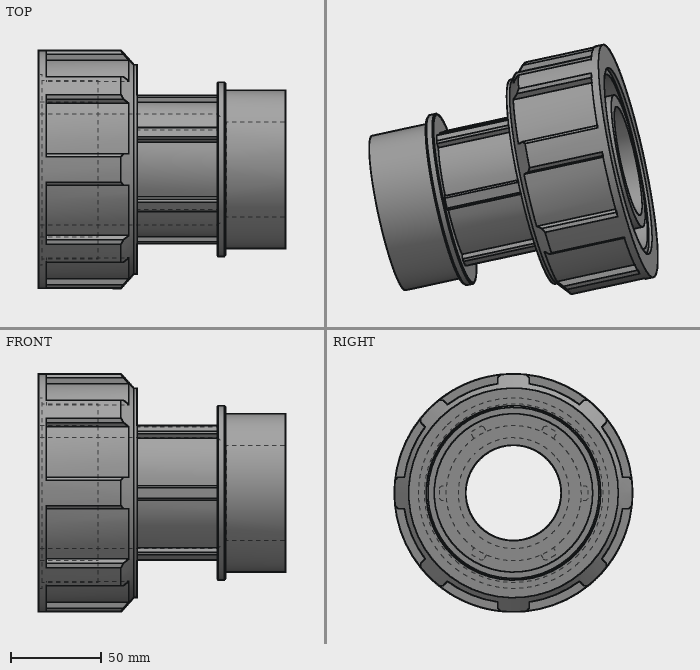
import cadquery as cq
import math

total_length = 137.0
nut_ring_end = 4.2
nut_chamfer_start = 45.8
collar_start = 52.9
collar_end = 54.7
flange_start = 99.0
flange_end = 103.8

nut_radius = 132.0 / 2
collar_radius = 116.2 / 2
panel_radius = 61.1
grip_count = 8
grip_half_width = 8.8
grip_edge_chamfer = 1.8
mouth_radius = 105.6 / 2
mouth_depth = 1.8
cavity_radius = 99.0 / 2
cavity_depth = 32.9

sleeve_radius = 75.0 / 2
rib_count = 6
rib_height_radius = 41.2
rib_half_width = 4.0
rib_edge_chamfer = 1.1
rib_embed_depth = 2.7
rib_root_radius = sleeve_radius - rib_embed_depth
flange_radius = 96.7 / 2
flange_front_chamfer = 0.7
flange_back_chamfer = 1.0
spigot_radius = 87.8 / 2

bore_front_radius = 61.5 / 2
bore_back_radius = 52.7 / 2
bore_shoulder_length = 5.1


def revolve_x(points):
    """Revolve a closed (x, radius) outline about the X axis."""
    return cq.Workplane("XY").polyline(points).close().revolve(360, (0, 0, 0), (1, 0, 0))


def repeat_about_x(solid, count):
    """Evenly spaced copies of a solid about the X axis."""
    copies = solid
    for index in range(1, count):
        copies = copies.union(solid.rotate((0, 0, 0), (1, 0, 0), index * 360 / count))
    return copies


def make_panel_pocket():
    """Cutter for the recess between the grip bar at +Y and the next bar toward +Z."""
    crown_half_width = grip_half_width - grip_edge_chamfer
    crown_edge = math.sqrt(nut_radius**2 - crown_half_width**2)
    panel_edge = math.sqrt(panel_radius**2 - grip_half_width**2)
    bar_side = [
        (panel_edge, grip_half_width),
        (crown_edge - grip_edge_chamfer, grip_half_width),
        (crown_edge + grip_edge_chamfer, crown_half_width - grip_edge_chamfer),
    ]
    pitch = 2 * math.pi / grip_count
    next_bar_side = [
        (y * math.cos(pitch) + z * math.sin(pitch), y * math.sin(pitch) - z * math.cos(pitch))
        for y, z in bar_side
    ]
    panel_middle = (panel_radius * math.cos(pitch / 2), panel_radius * math.sin(pitch / 2))
    far_middle = (2 * nut_radius * math.cos(pitch / 2), 2 * nut_radius * math.sin(pitch / 2))
    return (
        cq.Workplane("YZ", origin=(nut_ring_end, 0, 0))
        .polyline(bar_side + [far_middle] + next_bar_side[::-1])
        .threePointArc(panel_middle, bar_side[0])
        .close()
        .extrude(collar_start - nut_ring_end)
    )


def make_nut():
    """Nut with a full front ring, grip bars between recessed panels, and a hollow front."""
    nut = revolve_x([
        (0, mouth_radius),
        (0, nut_radius),
        (nut_chamfer_start, nut_radius),
        (collar_start, collar_radius),
        (collar_end, collar_radius),
        (collar_end, 0),
        (cavity_depth, 0),
        (cavity_depth, cavity_radius),
        (mouth_depth, cavity_radius),
        (mouth_depth, mouth_radius),
    ])
    pocket = make_panel_pocket()
    for index in range(grip_count):
        nut = nut.cut(pocket.rotate((0, 0, 0), (1, 0, 0), index * 360 / grip_count))
    return nut


def make_neck_rib():
    """One bevelled rib at +Y along the neck."""
    return (
        cq.Workplane("YZ", origin=(collar_end, 0, 0))
        .polyline([
            (rib_root_radius, -rib_half_width),
            (rib_height_radius - rib_edge_chamfer, -rib_half_width),
            (rib_height_radius, -rib_half_width + rib_edge_chamfer),
            (rib_height_radius, rib_half_width - rib_edge_chamfer),
            (rib_height_radius - rib_edge_chamfer, rib_half_width),
            (rib_root_radius, rib_half_width),
        ])
        .close()
        .extrude(flange_start - collar_end)
    )


def make_sleeve():
    """Sleeve running from the nut mouth to the flange and spigot."""
    return revolve_x([
        (0, 0),
        (0, sleeve_radius),
        (flange_start, sleeve_radius),
        (flange_start, flange_radius - flange_front_chamfer),
        (flange_start + flange_front_chamfer, flange_radius),
        (flange_end - flange_back_chamfer, flange_radius),
        (flange_end, flange_radius - flange_back_chamfer),
        (flange_end, spigot_radius),
        (total_length, spigot_radius),
        (total_length, 0),
    ])


def make_bore():
    """Through bore narrowing at the flange to a smaller passage in the spigot."""
    return revolve_x([
        (0, 0),
        (0, bore_front_radius),
        (flange_start, bore_front_radius),
        (flange_start + bore_shoulder_length, bore_back_radius),
        (total_length, bore_back_radius),
        (total_length, 0),
    ])


neck_ribs = repeat_about_x(make_neck_rib(), rib_count)
result = make_nut().union(make_sleeve()).union(neck_ribs).cut(make_bore())